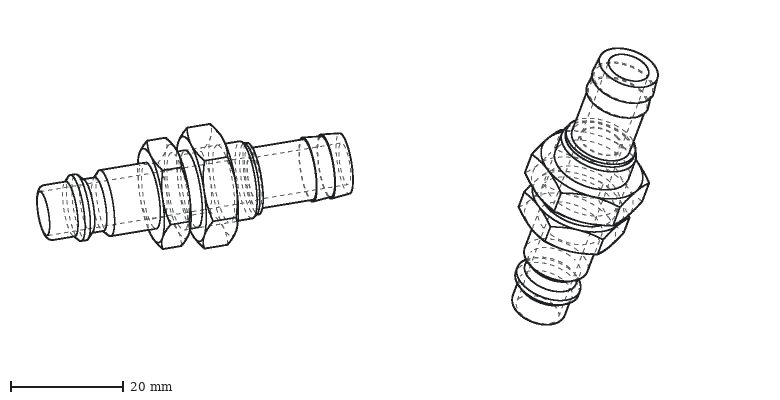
import cadquery as cq
import math

LENGTH = 56.0

NOSE_RADIUS = 5.0
BORE_RADIUS = 4.0
TIP_ROUND = NOSE_RADIUS - BORE_RADIUS
COLLAR_RADIUS = 6.0
GROOVE_RADIUS = 4.9
GROOVE_CHAMFER = COLLAR_RADIUS - GROOVE_RADIUS
COLLAR_CHAMFER = COLLAR_RADIUS - NOSE_RADIUS
NOSE_END = 5.0
COLLAR_END = 7.0
BARREL_START = 11.5

BODY_HEX_FLATS = 17.0
BODY_HEX_START = 20.0
BODY_HEX_END = 25.0

THREAD_RADIUS = 7.0
THREAD_END = 37.7
SHOULDER_RADIUS = 6.5
SHOULDER_START = 38.35
SHOULDER_END = 39.0

TAIL_RADIUS = 5.5
TAIL_BORE_RADIUS = 3.75
BARB_RADIUS = 5.8
BARB_LENGTH = 3.4
BARB_COUNT = 2

NUT_FLATS = 19.0
NUT_START = 27.5
NUT_THICKNESS = 6.0

HEX_CHAMFER_ANGLE = 30.0


def revolve_about_y(profile):
    """Turn a closed profile, drawn as (radius, Y), about the Y axis."""
    return profile.close().revolve(360, (0, 0, 0), (0, 1, 0))


def chamfered_hexagon(flats, start, thickness):
    """Hexagonal prism along Y, corners on X, with conical chamfers at both ends."""
    corner_radius = flats / math.sqrt(3)
    face_radius = flats / 2
    end = start + thickness
    cone_radius = 1.1 * corner_radius
    cone_drop = (cone_radius - face_radius) * math.tan(math.radians(HEX_CHAMFER_ANGLE))
    prism = (
        cq.Workplane("XZ", origin=(0, start, 0))
        .polygon(6, 2 * corner_radius)
        .extrude(-thickness)
    )
    envelope = revolve_about_y(
        cq.Workplane("XY")
        .moveTo(0, start)
        .lineTo(face_radius, start)
        .lineTo(cone_radius, start + cone_drop)
        .lineTo(cone_radius, end - cone_drop)
        .lineTo(face_radius, end)
        .lineTo(0, end)
    )
    return prism.intersect(envelope)


def make_turned_body():
    """Bored, turned shape of the body, from the rounded tip to the barbed tail."""
    diagonal = TIP_ROUND * math.sqrt(0.5)
    round_middle = (NOSE_RADIUS - TIP_ROUND + diagonal, TIP_ROUND - diagonal)
    first_barb_start = LENGTH - BARB_COUNT * BARB_LENGTH
    profile = (
        cq.Workplane("XY")
        .moveTo(BORE_RADIUS, 0)
        .threePointArc(round_middle, (NOSE_RADIUS, TIP_ROUND))
        .lineTo(NOSE_RADIUS, NOSE_END)
        .lineTo(COLLAR_RADIUS, NOSE_END + COLLAR_CHAMFER)
        .lineTo(COLLAR_RADIUS, COLLAR_END)
        .lineTo(GROOVE_RADIUS, COLLAR_END + GROOVE_CHAMFER)
        .lineTo(GROOVE_RADIUS, BARREL_START - GROOVE_CHAMFER)
        .lineTo(COLLAR_RADIUS, BARREL_START)
        .lineTo(COLLAR_RADIUS, BODY_HEX_END)
        .lineTo(THREAD_RADIUS, BODY_HEX_END)
        .lineTo(THREAD_RADIUS, THREAD_END)
        .lineTo(SHOULDER_RADIUS, SHOULDER_START)
        .lineTo(SHOULDER_RADIUS, SHOULDER_END)
        .lineTo(TAIL_RADIUS, SHOULDER_END)
        .lineTo(TAIL_RADIUS, first_barb_start)
    )
    for index in range(BARB_COUNT):
        barb_start = first_barb_start + index * BARB_LENGTH
        profile = (
            profile.lineTo(BARB_RADIUS, barb_start)
            .lineTo(TAIL_RADIUS, barb_start + BARB_LENGTH)
        )
    profile = (
        profile.lineTo(TAIL_BORE_RADIUS, LENGTH)
        .lineTo(TAIL_BORE_RADIUS, SHOULDER_END)
        .lineTo(BORE_RADIUS, SHOULDER_END)
    )
    return revolve_about_y(profile)


def cylinder_along_y(radius, start, length):
    return cq.Workplane("XZ", origin=(0, start, 0)).circle(radius).extrude(-length)


def make_body():
    """Coupling body: the turned shape with its fixed hexagon."""
    hex_thickness = BODY_HEX_END - BODY_HEX_START
    hexagon = chamfered_hexagon(BODY_HEX_FLATS, BODY_HEX_START, hex_thickness)
    bore = cylinder_along_y(BORE_RADIUS, BODY_HEX_START, hex_thickness)
    return make_turned_body().union(hexagon.cut(bore))


def make_nut():
    """Loose hexagon nut that fits on the thread cylinder."""
    hexagon = chamfered_hexagon(NUT_FLATS, NUT_START, NUT_THICKNESS)
    return hexagon.cut(cylinder_along_y(THREAD_RADIUS, NUT_START, NUT_THICKNESS))


body = make_body()
nut = make_nut()

result = cq.Compound.makeCompound([body.val(), nut.val()])